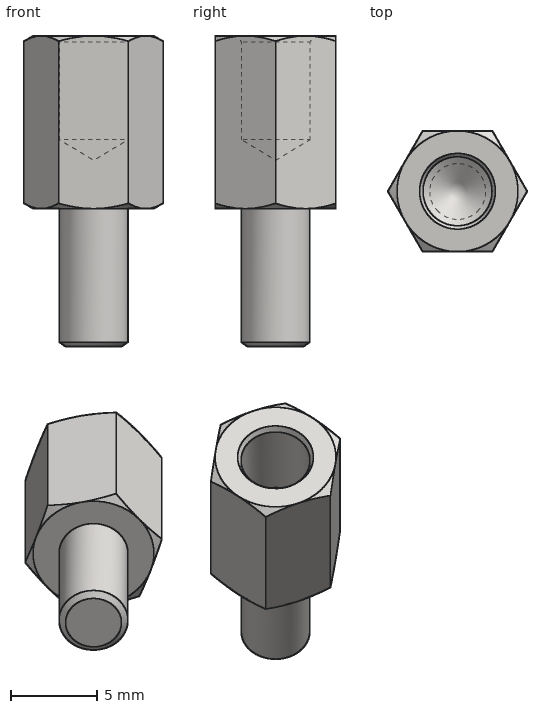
import cadquery as cq
import math

total_height = 18.0
across_flats = 7.0
hex_height = 10.0
thread_diameter = 4.0

corner_angle = 30.0
stud_chamfer_width = 0.38
stud_chamfer_height = 0.27
countersink_width = 0.2
countersink_depth = 0.35
hole_depth = 6.0
drill_point_angle = 118.0

hex_sides = 6
stud_height = total_height - hex_height
thread_radius = thread_diameter / 2
flat_radius = across_flats / 2
across_corners = across_flats / math.cos(math.pi / hex_sides)
corner_drop = (across_corners / 2 - flat_radius) * math.tan(math.radians(corner_angle))


def revolve_profile(points):
    """Turn a closed (radius, height) outline about the Z axis."""
    return cq.Workplane("XZ").polyline(points).close().revolve(360, (0, 0), (0, 1))


def make_hex_body():
    """Hexagonal prism with its corners turned off at both ends."""
    prism = (
        cq.Workplane("XY")
        .workplane(offset=stud_height)
        .polygon(hex_sides, across_corners)
        .extrude(hex_height)
    )
    turned_envelope = revolve_profile([
        (0, stud_height),
        (flat_radius, stud_height),
        (across_corners / 2, stud_height + corner_drop),
        (across_corners / 2, total_height - corner_drop),
        (flat_radius, total_height),
        (0, total_height),
    ])
    return prism.intersect(turned_envelope)


def make_stud():
    """Round stud with a chamfered tip, standing on the plane Z = 0."""
    return revolve_profile([
        (0, 0),
        (thread_radius - stud_chamfer_width, 0),
        (thread_radius, stud_chamfer_height),
        (thread_radius, stud_height),
        (0, stud_height),
    ])


def make_hole():
    """Blind drilled hole with a countersunk mouth and a conical bottom."""
    cone_height = thread_radius / math.tan(math.radians(drill_point_angle / 2))
    shoulder_z = total_height - hole_depth
    return revolve_profile([
        (0, total_height),
        (thread_radius + countersink_width, total_height),
        (thread_radius, total_height - countersink_depth),
        (thread_radius, shoulder_z),
        (0, shoulder_z - cone_height),
    ])


result = make_hex_body().union(make_stud()).cut(make_hole())